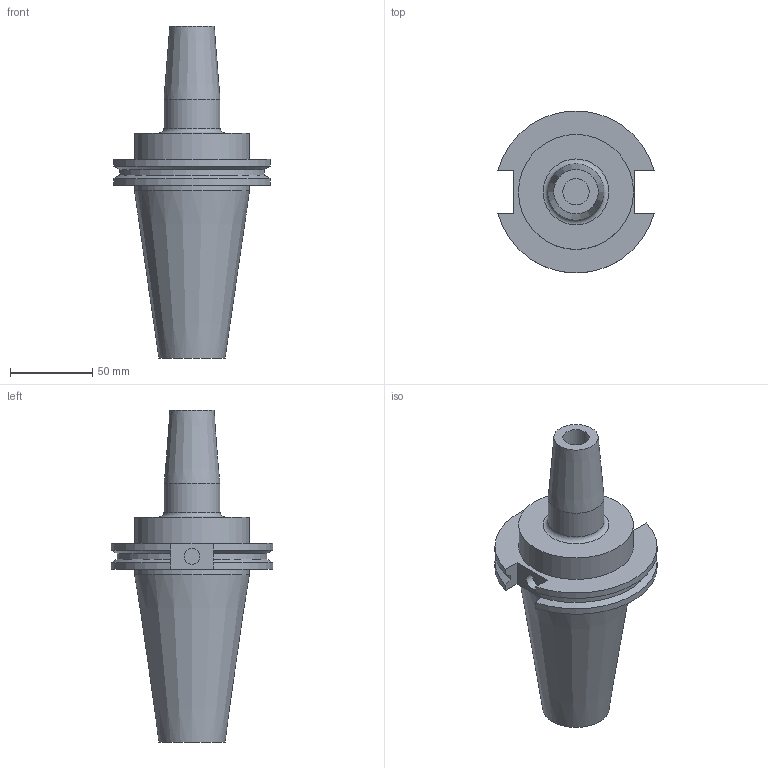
import cadquery as cq
import math


gauge_diameter = 69.85
taper_length = 101.6
taper_rate = 7 / 24
shank_end_diameter = gauge_diameter - taper_length * taper_rate

flange_diameter = 98.425
flange_bottom = 3.175
flange_thickness = 15.875
flange_top = flange_bottom + flange_thickness
flange_middle = flange_bottom + flange_thickness / 2
groove_floor_diameter = 91.2
groove_floor_width = 3.5
groove_wall_angle = 30

slot_width = 25.908
slot_floor_minus_x = 37.7
slot_floor_plus_x = 35.3

pocket_diameter = 9.7
pocket_depth = 5.0

collar_top = 35.0
neck_diameter = 34.0
neck_fillet = 3.0
nose_top = 100.0
nose_diameter = 27.0
nose_half_angle = 4.5
nose_length = (neck_diameter - nose_diameter) / 2 / math.tan(math.radians(nose_half_angle))

bore_diameter = 16.0
bore_depth = 50.0


def turned_body():
    """Revolve the half section of shank, flange, collar, neck and nose."""
    gauge_radius = gauge_diameter / 2
    flange_radius = flange_diameter / 2
    groove_radius = groove_floor_diameter / 2
    neck_radius = neck_diameter / 2
    half_floor = groove_floor_width / 2
    wall_rise = (flange_radius - groove_radius) * math.tan(math.radians(groove_wall_angle))
    half_mouth = half_floor + wall_rise
    fillet_middle_offset = neck_fillet * (1 - math.sqrt(0.5))

    section = (
        cq.Workplane("XZ")
        .moveTo(0, -taper_length)
        .lineTo(shank_end_diameter / 2, -taper_length)
        .lineTo(gauge_radius, 0)
        .lineTo(gauge_radius, flange_bottom)
        .lineTo(flange_radius, flange_bottom)
        .lineTo(flange_radius, flange_middle - half_mouth)
        .lineTo(groove_radius, flange_middle - half_floor)
        .lineTo(groove_radius, flange_middle + half_floor)
        .lineTo(flange_radius, flange_middle + half_mouth)
        .lineTo(flange_radius, flange_top)
        .lineTo(gauge_radius, flange_top)
        .lineTo(gauge_radius, collar_top)
        .lineTo(neck_radius + neck_fillet, collar_top)
        .threePointArc(
            (neck_radius + fillet_middle_offset, collar_top + fillet_middle_offset),
            (neck_radius, collar_top + neck_fillet),
        )
        .lineTo(neck_radius, nose_top - nose_length)
        .lineTo(nose_diameter / 2, nose_top)
        .lineTo(0, nose_top)
        .close()
    )
    return section.revolve(360, (0, 0, 0), (0, 1, 0))


def drive_slot(side, floor_distance):
    """Cutter for a slot on one side (-1 or +1 along X), through the flange thickness."""
    cutter_depth = flange_diameter / 2
    return (
        cq.Workplane("XY", origin=(0, 0, flange_bottom))
        .center(side * (floor_distance + cutter_depth / 2), 0)
        .rect(cutter_depth, slot_width)
        .extrude(flange_thickness)
    )


def slot_pocket():
    """Cutter for the round pocket sunk into the -X slot floor."""
    return (
        cq.Workplane("YZ", origin=(-slot_floor_minus_x, 0, flange_middle))
        .circle(pocket_diameter / 2)
        .extrude(pocket_depth)
    )


def tool_bore():
    """Cutter for the blind bore that holds the tool shank."""
    return (
        cq.Workplane("XY", origin=(0, 0, nose_top - bore_depth))
        .circle(bore_diameter / 2)
        .extrude(bore_depth)
    )


result = (
    turned_body()
    .cut(drive_slot(-1, slot_floor_minus_x))
    .cut(drive_slot(1, slot_floor_plus_x))
    .cut(slot_pocket())
    .cut(tool_bore())
)